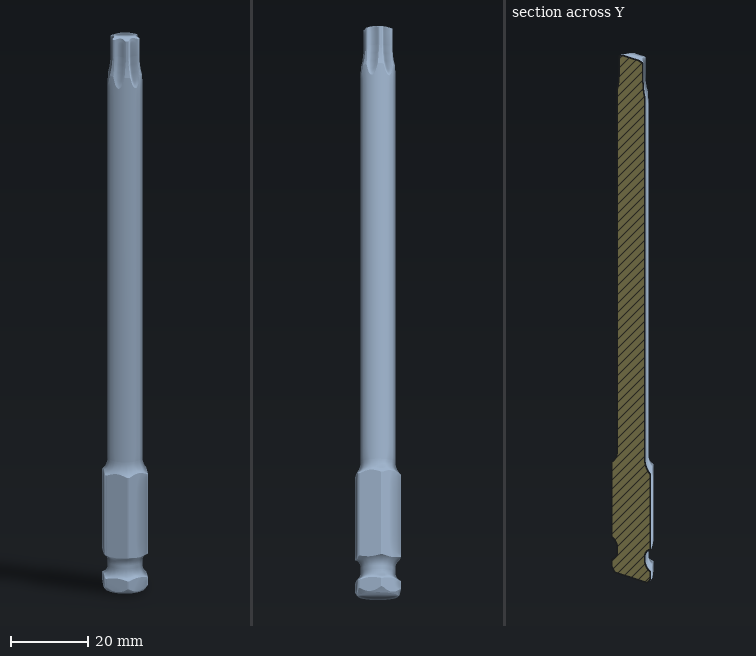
import cadquery as cq
import math

full_turn = 360
total_length = 150.0
shaft_radius = 4.5

hex_sides = 6
hex_across_flats = 11.11
hex_turned_radius = 12.56 / 2
shank_end_radius = 5.3
shank_end_chamfer_height = 1.4

neck_bottom_z = 6.3
neck_top_z = 7.4
shoulder_top_z = 35.4
neck_lower_fillet = 2.9
neck_upper_fillet = 2.65
shoulder_fillet = 4.8

lobe_count = 6
tip_radius = 3.93
tip_turned_length = 6.0
tip_flare_length = 4.2
groove_straight_length = 5.0
tip_chamfer_height = 0.45
tip_face_radius = 2.6
groove_bottom_radius = 2.82
groove_radius = 1.8
lobe_center_radius = 3.4
groove_runout_length = 8.2
cutter_outer_radius = 6.0
groove_sweep_angle = 45

tip_turned_z = total_length - tip_turned_length
groove_straight_z = total_length - groove_straight_length


def fillet_reach(radius, radial_rise):
    """Axial distance in which an arc starting parallel to the axis moves radially by radial_rise."""
    return math.sqrt(radius**2 - (radius - radial_rise) ** 2)


def fillet_mid_point(radius, radial_rise, start_z, direction):
    """Half-way point of the arc that leaves the shaft at start_z and flares outward."""
    half_angle = math.acos(1 - radial_rise / radius) / 2
    r = shaft_radius + radius * (1 - math.cos(half_angle))
    return (r, start_z + direction * radius * math.sin(half_angle))


def runout_radius(length, radial_rise):
    """Radius of an arc, tangent to the axis direction, that rises radial_rise over length."""
    return (length**2 + radial_rise**2) / (2 * radial_rise)


def polar(radius, angle):
    """Cartesian point at the given radius and angle from the axis."""
    return (radius * math.cos(angle), radius * math.sin(angle))


def turned_blank():
    """Solid of revolution that bounds the whole bit."""
    rise = hex_turned_radius - shaft_radius
    head_top_z = neck_bottom_z - fillet_reach(neck_lower_fillet, rise)
    body_bottom_z = neck_top_z + fillet_reach(neck_upper_fillet, rise)
    body_top_z = shoulder_top_z - fillet_reach(shoulder_fillet, rise)

    flare_radius = runout_radius(tip_flare_length, shaft_radius - tip_radius)
    flare_half_angle = math.asin(tip_flare_length / flare_radius) / 2
    flare_mid = (
        tip_radius + flare_radius * (1 - math.cos(flare_half_angle)),
        tip_turned_z - flare_radius * math.sin(flare_half_angle),
    )

    profile = (
        cq.Workplane("XZ")
        .moveTo(0, 0)
        .lineTo(shank_end_radius, 0)
        .lineTo(hex_turned_radius, shank_end_chamfer_height)
        .lineTo(hex_turned_radius, head_top_z)
        .threePointArc(
            fillet_mid_point(neck_lower_fillet, rise, neck_bottom_z, -1), (shaft_radius, neck_bottom_z)
        )
        .lineTo(shaft_radius, neck_top_z)
        .threePointArc(
            fillet_mid_point(neck_upper_fillet, rise, neck_top_z, 1), (hex_turned_radius, body_bottom_z)
        )
        .lineTo(hex_turned_radius, body_top_z)
        .threePointArc(
            fillet_mid_point(shoulder_fillet, rise, shoulder_top_z, -1), (shaft_radius, shoulder_top_z)
        )
        .lineTo(shaft_radius, tip_turned_z - tip_flare_length)
        .threePointArc(flare_mid, (tip_radius, tip_turned_z))
        .lineTo(tip_radius, total_length - tip_chamfer_height)
        .lineTo(tip_face_radius, total_length)
        .lineTo(0, total_length)
        .close()
    )
    return profile.revolve(full_turn, (0, 0, 0), (0, 1, 0))


def hex_envelope():
    """Hexagonal prism with corners on the X axis, which trims the shank to its flats."""
    across_corners = hex_across_flats / math.cos(math.pi / hex_sides)
    return cq.Workplane("XY").polygon(hex_sides, across_corners).extrude(total_length)


def groove_section():
    """Section of the gap between two lobes, centred on +Y, at the bottom of its straight length."""
    half_pitch = math.pi / lobe_count
    groove_center_y = groove_bottom_radius + groove_radius
    lobe_angle = math.pi / 2 - half_pitch
    lobe_x, lobe_y = polar(lobe_center_radius, lobe_angle)

    center_distance = math.hypot(lobe_x, groove_center_y - lobe_y)
    lobe_radius = center_distance - groove_radius
    tangent_angle = math.atan2(groove_center_y - lobe_y, -lobe_x)
    tangent_x = lobe_x + lobe_radius * math.cos(tangent_angle)
    tangent_y = lobe_y + lobe_radius * math.sin(tangent_angle)
    mid_angle = (tangent_angle + lobe_angle) / 2
    mid_x = lobe_x + lobe_radius * math.cos(mid_angle)
    mid_y = lobe_y + lobe_radius * math.sin(mid_angle)
    crest_x, crest_y = polar(lobe_center_radius + lobe_radius, lobe_angle)
    outer_x, outer_y = polar(cutter_outer_radius, lobe_angle)

    return (
        cq.Workplane("XY", origin=(0, 0, groove_straight_z))
        .moveTo(-outer_x, outer_y)
        .lineTo(-crest_x, crest_y)
        .threePointArc((-mid_x, mid_y), (-tangent_x, tangent_y))
        .threePointArc((0, groove_bottom_radius), (tangent_x, tangent_y))
        .threePointArc((mid_x, mid_y), (crest_x, crest_y))
        .lineTo(outer_x, outer_y)
        .close()
    )


def groove_cutter():
    """Straight groove that curves outward below the straight length until it leaves the shaft."""
    sweep_radius = runout_radius(groove_runout_length, shaft_radius - groove_bottom_radius)
    pivot_y = groove_bottom_radius + sweep_radius
    straight = groove_section().extrude(groove_straight_length)
    runout = groove_section().revolve(groove_sweep_angle, (0, pivot_y, 0), (1, pivot_y, 0))
    return straight.union(runout)


result = turned_blank().intersect(hex_envelope())
cutter = groove_cutter()
for index in range(lobe_count):
    result = result.cut(cutter.rotate((0, 0, 0), (0, 0, 1), index * full_turn / lobe_count))